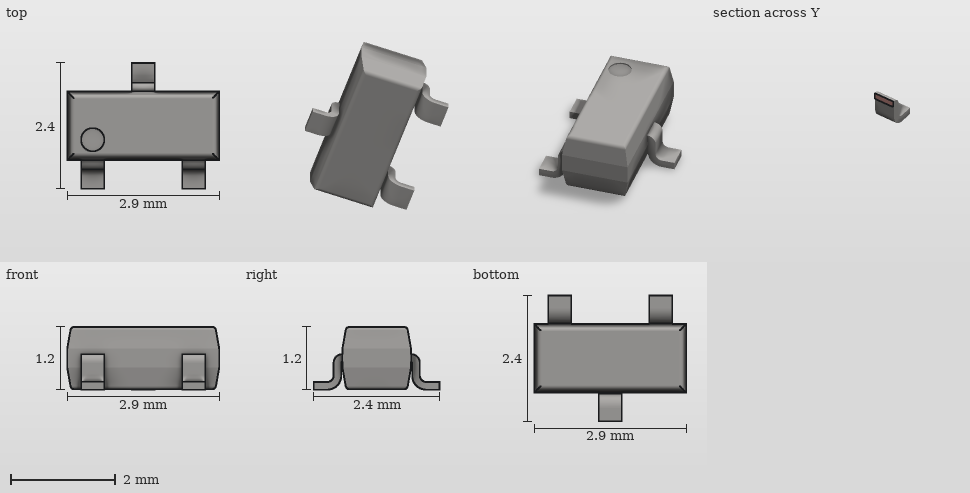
import cadquery as cq
import math

body_length = 2.9
body_width = 1.31
lead_span = 2.4
top_height = 1.2

standoff = 0.01
band_height = 0.362
draft_angle = 10.0
edge_radius = 0.078
taper_height = (top_height - standoff - band_height) / 2
band_bottom = standoff + taper_height
band_top = band_bottom + band_height

mark_diameter = 0.445
mark_depth = 0.03
mark_y = -0.265

lead_width = 0.445
lead_thickness = 0.15
lead_top = 0.682
shoulder_inner_radius = 0.017
foot_inner_radius = 0.122
front_lead_x = 0.963
shoulder_outer_radius = shoulder_inner_radius + lead_thickness
foot_outer_radius = foot_inner_radius + lead_thickness


def make_tapered_half(height, direction):
    """Half of the housing, narrowing away from the straight band."""
    return (
        cq.Workplane("XY")
        .rect(body_length, body_width)
        .extrude(direction * height, taper=draft_angle)
    )


def make_housing():
    """Band with a drafted half above and below, rounded rims and a round mark."""
    band = (
        cq.Workplane("XY")
        .workplane(offset=band_bottom)
        .rect(body_length, body_width)
        .extrude(band_height)
    )
    upper = make_tapered_half(taper_height, 1).translate((0, 0, band_top))
    lower = make_tapered_half(taper_height, -1).translate((0, 0, band_bottom))
    housing = band.union(upper).union(lower)
    housing = housing.faces(">Z").edges().fillet(edge_radius)
    housing = housing.faces("<Z").edges().fillet(edge_radius)
    mark = (
        cq.Workplane("XY")
        .workplane(offset=top_height - mark_depth)
        .center(-front_lead_x, mark_y)
        .circle(mark_diameter / 2)
        .extrude(mark_depth)
    )
    return housing.cut(mark)


def arc_middle(center_y, center_z, radius, side):
    """Middle of a quarter arc: side +1 is up and outward, -1 down and inward."""
    step = side * radius * math.sqrt(0.5)
    return (center_y + step, center_z + step)


def make_lead():
    """Lead on the +Y side, centred on X = 0, ending against the housing band."""
    root_y = body_width / 2
    toe_y = lead_span / 2
    shoulder_z = lead_top - shoulder_outer_radius
    outer_y = root_y + shoulder_outer_radius
    inner_y = root_y + shoulder_inner_radius
    foot_y = outer_y + foot_inner_radius
    foot_z = foot_outer_radius
    profile = (
        cq.Workplane("YZ")
        .moveTo(root_y, lead_top)
        .threePointArc(arc_middle(root_y, shoulder_z, shoulder_outer_radius, 1), (outer_y, shoulder_z))
        .lineTo(outer_y, foot_z)
        .threePointArc(arc_middle(foot_y, foot_z, foot_inner_radius, -1), (foot_y, lead_thickness))
        .lineTo(toe_y, lead_thickness)
        .lineTo(toe_y, 0)
        .lineTo(foot_y, 0)
        .threePointArc(arc_middle(foot_y, foot_z, foot_outer_radius, -1), (inner_y, foot_z))
        .lineTo(inner_y, shoulder_z)
        .threePointArc(
            arc_middle(root_y, shoulder_z, shoulder_inner_radius, 1),
            (root_y, shoulder_z + shoulder_inner_radius),
        )
        .close()
    )
    return profile.extrude(lead_width / 2, both=True)


housing = make_housing()

leads = [make_lead()]
for lead_x in (-front_lead_x, front_lead_x):
    front_lead = make_lead().rotate((0, 0, 0), (0, 0, 1), 180)
    leads.append(front_lead.translate((lead_x, 0, 0)))

result = cq.Compound.makeCompound([housing.val(), *[lead.val() for lead in leads]])